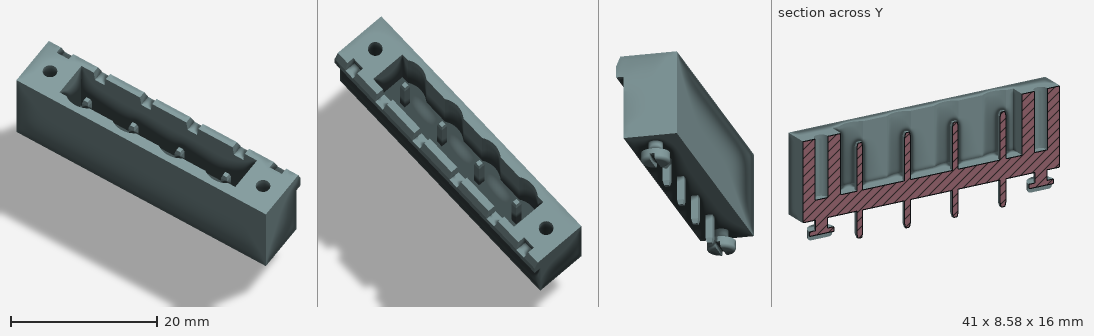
import cadquery as cq
import math

length = 41.05
depth = 7.55
height = 12.0

lip_depth = 1.03
lip_height = 3.0
lip_slope_depth = 0.57
lip_slope_height = 1.35

row_offset = 0.02
row_y = depth / 2 + row_offset
contact_count = 4
contact_span = 22.85
contact_pitch = contact_span / (contact_count - 1)
screw_spacing = 35.05

pocket_length = 28.9
pocket_floor = 3.0
front_wall = 1.55
rear_wall = 0.6
rear_wall_taper = 0.12
bulge_radius = 3.25
bulge_sag = 0.6

notch_top_width = 2.0
notch_bottom_width = 1.5
notch_depth = 1.5

pin_width = 1.0
pin_tip_width = 0.65
pin_taper = 0.65
pin_top = 10.0
pin_bottom = -4.02

screw_diameter = 2.0
head_diameter = 4.0
head_top = -1.48
head_bottom = -3.0
head_rounding = 0.5
slot_width = 0.7
slot_depth = 0.8

contact_xs = [(i - (contact_count - 1) / 2) * contact_pitch for i in range(contact_count)]
screw_xs = [-screw_spacing / 2, screw_spacing / 2]
pocket_rear = depth - rear_wall


def make_housing():
    """Block with the sloped lip, as one profile drawn in the YZ plane."""
    lip_rear = depth + lip_depth
    profile = [
        (0, 0),
        (depth, 0),
        (depth, height - lip_height),
        (lip_rear, height - lip_height),
        (lip_rear, height - lip_slope_height),
        (lip_rear - lip_slope_depth, height),
        (0, height),
    ]
    return cq.Workplane("YZ").polyline(profile).close().extrude(length / 2, both=True)


def make_pocket():
    """Pocket volume with one round bulge in its front wall at each contact."""
    pocket_height = height - pocket_floor
    bulge_half_chord = math.sqrt(bulge_radius**2 - (bulge_radius - bulge_sag) ** 2)
    outline = cq.Workplane("XY", origin=(0, 0, pocket_floor)).moveTo(-pocket_length / 2, front_wall)
    for x in contact_xs:
        outline = outline.lineTo(x - bulge_half_chord, front_wall).threePointArc(
            (x, front_wall - bulge_sag), (x + bulge_half_chord, front_wall)
        )
    outline = outline.lineTo(pocket_length / 2, front_wall)
    outline = outline.lineTo(pocket_length / 2, pocket_rear).lineTo(-pocket_length / 2, pocket_rear)
    return outline.close().extrude(pocket_height)


def make_rear_wall_wedge():
    """Thin wedge that makes the rear wall thicker towards the pocket floor."""
    profile = [
        (pocket_rear, height),
        (pocket_rear, pocket_floor),
        (pocket_rear - rear_wall_taper, pocket_floor),
    ]
    return cq.Workplane("YZ").polyline(profile).close().extrude(pocket_length / 2, both=True)


def make_notch(x, front_y):
    """Notch volume with tapered sides, from front_y out through the lip."""
    profile = [
        (x - notch_bottom_width / 2, height - notch_depth),
        (x + notch_bottom_width / 2, height - notch_depth),
        (x + notch_top_width / 2, height),
        (x - notch_top_width / 2, height),
    ]
    plane = cq.Workplane("XZ", origin=(0, front_y, 0))
    return plane.polyline(profile).close().extrude(-(depth + lip_depth - front_y))


def make_pin(x):
    """Square pin running through the pocket floor."""
    shank_bottom = pin_bottom + pin_taper
    shank_top = pin_top - pin_taper
    pin = (
        cq.Workplane("XY", origin=(x, row_y, shank_bottom))
        .rect(pin_width, pin_width)
        .extrude(shank_top - shank_bottom)
    )
    for shank_end, tip_end in [(shank_bottom, pin_bottom), (shank_top, pin_top)]:
        tip = (
            cq.Workplane("XY", origin=(x, row_y, shank_end))
            .rect(pin_width, pin_width)
            .workplane(offset=tip_end - shank_end)
            .rect(pin_tip_width, pin_tip_width)
            .loft(combine=True)
        )
        pin = pin.union(tip)
    return pin


def make_screw(x):
    """Screw neck and rounded head under the housing, with a slot along X."""
    neck = cq.Workplane("XY", origin=(x, row_y, head_top)).circle(screw_diameter / 2).extrude(-head_top)
    head = (
        cq.Workplane("XY", origin=(x, row_y, head_bottom))
        .circle(head_diameter / 2)
        .extrude(head_top - head_bottom)
        .faces("<Z")
        .edges()
        .fillet(head_rounding)
    )
    slot = (
        cq.Workplane("XY", origin=(x, row_y, head_bottom))
        .rect(head_diameter, slot_width)
        .extrude(slot_depth)
    )
    return head.cut(slot).union(neck)


def make_screw_hole(x):
    """Blind hole as deep as the pocket."""
    return (
        cq.Workplane("XY", origin=(x, row_y, pocket_floor))
        .circle(screw_diameter / 2)
        .extrude(height - pocket_floor)
    )


result = make_housing().cut(make_pocket()).union(make_rear_wall_wedge())
for x in contact_xs:
    result = result.cut(make_notch(x, pocket_rear - rear_wall_taper))
    result = result.union(make_pin(x))
for x in screw_xs:
    result = result.cut(make_notch(x, pocket_rear))
    result = result.cut(make_screw_hole(x)).union(make_screw(x))